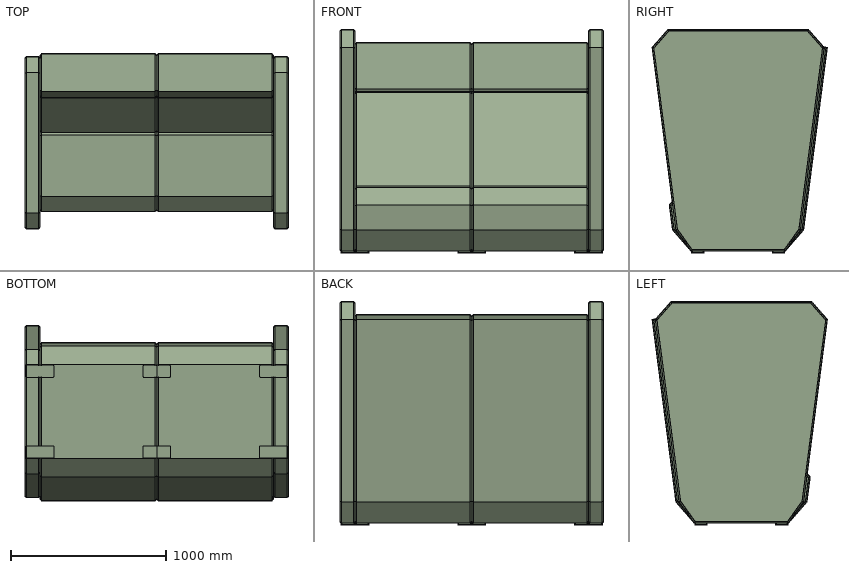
import cadquery as cq
import math


TOTAL_LENGTH = 1700.0
HEIGHT = 1438.0
PANEL_THICKNESS = 99.0
HALF_LENGTH = TOTAL_LENGTH / 2
SEAT_WIDTH = HALF_LENGTH - PANEL_THICKNESS
EDGE_BEVEL = 10.0

END_FOOT_LENGTH = 178.0
INNER_FOOT_LENGTH = END_FOOT_LENGTH / 2
FOOT_WIDTH = 80.0
FOOT_HEIGHT = 10.0
FOOT_INSET = 8.0
FOOT_CORNER = 5.0
FOOT_SPACING = 520.0

PANEL_Y = -10.0
PANEL_TOP_HALF = 452.0
PANEL_SHOULDER_HALF = 555.0
PANEL_KNEE_HALF = 401.0
PANEL_BOTTOM_HALF = 303.0
SHOULDER_Z = 1323.0
KNEE_Z = 148.0
LEAN = (PANEL_SHOULDER_HALF - PANEL_KNEE_HALF) / (SHOULDER_Z - KNEE_Z)

BACK_OVERHANG = 20.0
HEADREST_DEPTH = 243.0
HEADREST_BOTTOM_Z = 1044.0
SEAT_Z = 420.0
SEAT_REAR_Y = 51.0
SEAT_FRONT_Y = -357.0
NOSE_Y = -454.0
NOSE_Z = 308.0

GROOVE_HALF_WIDTH = 12.0
HEADREST_GROOVE_BOTTOM = (10.0, -3.0)
SEAT_GROOVE_BOTTOM = (5.0, -10.0)


def point_towards(start, target, distance):
    """Point at the given distance from start on the way to target."""
    fraction = distance / math.dist(start, target)
    return (
        start[0] + fraction * (target[0] - start[0]),
        start[1] + fraction * (target[1] - start[1]),
    )


def groove_points(before, corner, after, bottom_offset):
    """Three points that replace a concave corner of an outline with a V-groove."""
    return [
        point_towards(corner, before, GROOVE_HALF_WIDTH),
        (corner[0] + bottom_offset[0], corner[1] + bottom_offset[1]),
        point_towards(corner, after, GROOVE_HALF_WIDTH),
    ]


def panel_outline():
    """Y-Z outline of the side panel: a tapered octagon, wider at the top."""
    half_outline = [
        (PANEL_TOP_HALF, HEIGHT),
        (PANEL_SHOULDER_HALF, SHOULDER_Z),
        (PANEL_KNEE_HALF, KNEE_Z),
        (PANEL_BOTTOM_HALF, FOOT_HEIGHT),
    ]
    rear = [(PANEL_Y + half, z) for half, z in half_outline]
    front = [(PANEL_Y - half, z) for half, z in reversed(half_outline)]
    return rear + front


def seat_outline():
    """Y-Z outline of the seat section, from the top of the back over the seat to the base."""
    back_top = (PANEL_Y + PANEL_SHOULDER_HALF + BACK_OVERHANG, SHOULDER_Z)
    back_knee = (PANEL_Y + PANEL_KNEE_HALF + BACK_OVERHANG, KNEE_Z)
    headrest_top = (back_top[0] - HEADREST_DEPTH, SHOULDER_Z + LEAN * HEADREST_DEPTH)
    headrest_face_height = headrest_top[1] - HEADREST_BOTTOM_Z
    headrest_bottom = (headrest_top[0] - LEAN * headrest_face_height, HEADREST_BOTTOM_Z)
    seat_rear = (SEAT_REAR_Y, SEAT_Z)
    seat_front = (SEAT_FRONT_Y, SEAT_Z)
    front_knee = (NOSE_Y + LEAN * (NOSE_Z - KNEE_Z), KNEE_Z)
    return [
        back_top,
        headrest_top,
        *groove_points(headrest_top, headrest_bottom, seat_rear, HEADREST_GROOVE_BOTTOM),
        *groove_points(headrest_bottom, seat_rear, seat_front, SEAT_GROOVE_BOTTOM),
        seat_front,
        (NOSE_Y, NOSE_Z),
        front_knee,
        (PANEL_Y - PANEL_BOTTOM_HALF, FOOT_HEIGHT),
        (PANEL_Y + PANEL_BOTTOM_HALF, FOOT_HEIGHT),
        back_knee,
    ]


def bevelled_plate(outline, x_start, thickness):
    """Extrude a Y-Z outline along +X and bevel the rims of both end faces."""
    plate = cq.Workplane("YZ", origin=(x_start, 0, 0)).polyline(outline).close().extrude(thickness)
    return plate.faces("<X or >X").edges().chamfer(EDGE_BEVEL)


def make_unit(side):
    """Side panel and seat section in one solid; side is -1 for the -X unit, +1 for the +X unit."""
    panel_start = -HALF_LENGTH if side < 0 else SEAT_WIDTH
    seat_start = -SEAT_WIDTH if side < 0 else 0
    panel = bevelled_plate(panel_outline(), panel_start, PANEL_THICKNESS)
    seat = bevelled_plate(seat_outline(), seat_start, SEAT_WIDTH)
    return panel.union(seat)


def make_foot(x_center, y_center, length):
    """Flat foot pad on the floor with bevelled vertical corners."""
    pad = cq.Workplane("XY", origin=(x_center, y_center, 0)).box(
        length, FOOT_WIDTH, FOOT_HEIGHT, centered=(True, True, False)
    )
    return pad.edges("|Z").chamfer(FOOT_CORNER)


END_FOOT_X = HALF_LENGTH - FOOT_INSET - END_FOOT_LENGTH / 2
INNER_FOOT_X = INNER_FOOT_LENGTH / 2

units = []
end_feet = []
inner_feet = []
for side in (-1, 1):
    units.append(make_unit(side))
    for y in (PANEL_Y - FOOT_SPACING / 2, PANEL_Y + FOOT_SPACING / 2):
        end_feet.append(make_foot(side * END_FOOT_X, y, END_FOOT_LENGTH))
        inner_feet.append(make_foot(side * INNER_FOOT_X, y, INNER_FOOT_LENGTH))

bodies = units + end_feet + inner_feet
result = cq.Compound.makeCompound([body.solids().val() for body in bodies])